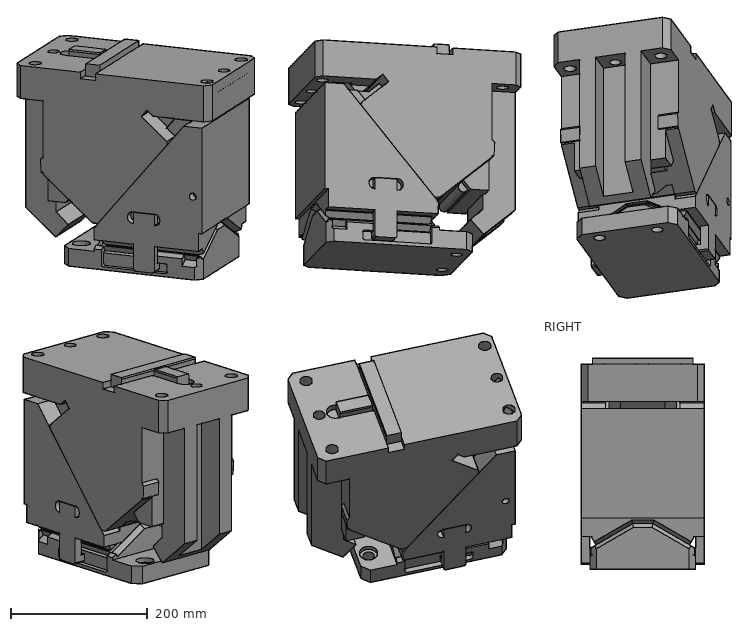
import cadquery as cq
import math


LENGTH = 310.0
WIDTH = 180.0
HALF_WIDTH = WIDTH / 2
ROOF_ANGLE = math.radians(30)
ROOF_RISE = math.tan(ROOF_ANGLE)
BEYOND = 62.0

SLOPE_ANGLE = math.radians(50)
SLOPE_X = 132.5
SLOPE_Z = 73.2
LOWER_END_U = -5.3
RAIL_HALF_WIDTH = 58.5
RAIL_HEIGHT = 21.5
VALLEY_HALF_WIDTH = 49.5
VALLEY_HEIGHT = 11.5
NOTCH_START_U = 174.8
NOTCH_END_U = 188.5
NOTCH_DEPTH = 56.5
NOTCH_BEVEL = 3.7

PLATE_TOP = 300.0
PLATE_BOTTOM = 245.5
FRONT_PLATE_BOTTOM = 250.2
PLATE_CHAMFER = 10.0
CHEEK_X = 45.5
CORE_HALF_WIDTH = 70.0
CORE_BOTTOM = 93.5
CORE_BOTTOM_END_X = 73.2
NOSE_X = 81.2
NOSE_Z = 99.2
NOSE_RADIUS = 7.5
NOSE_HALF_WIDTH = 59.0
BUMP_OUT = 4.0
BUMP_TOP = 165.2
BUMP_BOTTOM = 141.5
BUMP_TAPER = 1.2
BUMP_INNER_Y = 59.8
HOOK_HALF_WIDTH = 47.0
HOOK_OUTLINE = [
    (0, FRONT_PLATE_BOTTOM),
    (0, 73.2),
    (47.7, 33.0),
    (67.5, 54.0),
    (48.7, 71.3),
    (48.7, FRONT_PLATE_BOTTOM),
]
GROOVE_HALF_WIDTH = 22.5
GROOVE_DEPTH = 37.8
HOLE_X_FRONT = 24.8
HOLE_X_BACK = 295.0
HOLE_Y_FRONT = 69.8
HOLE_Y_BACK = 65.0
SCREW_HOLE_RADIUS = 9.0
DOWEL_HOLE_RADIUS = 8.5

KEY_TOP = 309.0
KEY_FLOOR = 290.2
KEY_EDGE_HEIGHT = 2.5
KEY_EDGE_WIDTH = 1.0
CROSS_SLOT_X0 = 104.8
CROSS_SLOT_X1 = 129.0
CROSS_KEY_GAP = 1.2
CROSS_KEY_LENGTH = 147.5
LONG_KEY_X0 = 53.5
LONG_KEY_X1 = 103.0
LONG_KEY_WIDTH = 23.2
LONG_SLOT_X0 = 36.5
LONG_SLOT_WIDTH = 26.0

BASE_X0 = 69.5
BASE_X1 = 290.5
BASE_HALF_WIDTH = 77.5
BASE_FLOOR = 27.0
BASE_FRONT_CHAMFER = 11.5
BASE_BACK_CHAMFER = 10.0
SHOULDER_X0 = 121.5
SHOULDER_Z = 30.5
RIDGE_HALF_WIDTH = 70.5
RIDGE_EDGE_Z = 34.7
RIDGE_FLAT_HALF_WIDTH = 15.0
RIDGE_TOP = RIDGE_EDGE_Z + (RIDGE_HALF_WIDTH - RIDGE_FLAT_HALF_WIDTH) * ROOF_RISE
RIDGE_FOOT_HALF_WIDTH = 65.0
RIDGE_FOOT_Z = 15.5
RAMP_DROP = 5.3
RAMP_X0 = 130.5
RAMP_X1 = 281.8
UNDERCUT_DEPTH = 5.0
UNDERCUT_Z = RIDGE_EDGE_Z - UNDERCUT_DEPTH / ROOF_RISE
UNDERCUT_Y = RIDGE_HALF_WIDTH - UNDERCUT_DEPTH
NOTCH_X0 = 261.0
NOTCH_X1 = 282.7
POCKET_X0 = 133.3
POCKET_X1 = 237.0
POCKET_TALL_X1 = 204.5
POCKET_Y = 69.5
POCKET_BOTTOM = 5.0
POCKET_LOW_TOP = 19.8
POCKET_RADIUS = 3.0
BORE_X = 87.5
BORE_Y = 44.3
BORE_RADIUS = 8.5
COUNTERBORE_RADIUS = 13.3
COUNTERBORE_DEPTH = 6.8

SLIDE_X0 = 126.5
SLIDE_X1 = 297.5
SLIDE_FOOT_X1 = 292.3
SLIDE_STEP_Z = 75.3
SLIDE_TOP = 235.5
SLIDE_BOTTOM = 48.0
RUNNER_HALF_WIDTH = 69.0
RUNNER_Z = RIDGE_EDGE_Z + (RIDGE_HALF_WIDTH - RUNNER_HALF_WIDTH) * ROOF_RISE
RUNNER_X0 = 132.7
RUNNER_LAND = 1.5
RUNNER_TOP_HALF_WIDTH = RUNNER_HALF_WIDTH + (SLIDE_BOTTOM - RUNNER_Z - 2 * RUNNER_LAND) * ROOF_RISE
FLARE_FRONT_X = 139.0
FLARE_FRONT_RISE = 3.0
FLARE_BACK_X = 283.0
FLARE_BACK_RISE = 5.3
STOP_OUTER_Y = 54.2
STOP_THICKNESS = 7.8
STRAP_X0 = 188.8
STRAP_X1 = 222.3
STRAP_BOTTOM = 7.5
STRAP_CHAMFER = 2.2
TOE_INNER_Y = 70.7
TOE_TOP = 19.2
STRAP_GAP = 0.5
RECESS_X0 = 179.5
RECESS_X1 = 231.0
RECESS_TOP = 97.0
RECESS_HEIGHT = 17.5
PIN_HOLE_X = 283.0
PIN_HOLE_Z = 130.2
PIN_HOLE_RADIUS = 5.3
PIN_HOLE_DEPTH = 15.5
PIN_HOLE_TIP = 3.0


def on_slope(u, v):
    """XZ point at distance u up the slope and v square to it."""
    x = SLOPE_X + u * math.cos(SLOPE_ANGLE) - v * math.sin(SLOPE_ANGLE)
    z = SLOPE_Z + u * math.sin(SLOPE_ANGLE) + v * math.cos(SLOPE_ANGLE)
    return (x, z)


def u_at_height(z, v):
    """Distance up the slope where the line at offset v reaches height z."""
    return (z - SLOPE_Z - v * math.cos(SLOPE_ANGLE)) / math.sin(SLOPE_ANGLE)


def v_at_height(z, u):
    """Offset from the slope where the square line at distance u reaches height z."""
    return (z - SLOPE_Z - u * math.sin(SLOPE_ANGLE)) / math.cos(SLOPE_ANGLE)


def side_plate(outline, y0, y1):
    """XZ outline made solid between y0 and y1."""
    return cq.Workplane("XZ", origin=(0, y1, 0)).polyline(outline).close().extrude(y1 - y0)


def across(outline, half_width):
    """XZ outline made solid over the width -half_width to half_width."""
    return side_plate(outline, -half_width, half_width)


def on_both_sides(shape):
    """The shape together with its mirror image across Y = 0."""
    return shape.union(shape.mirror("XZ"))


def box(x0, x1, y0, y1, z0, z1):
    """Box between the given limits."""
    return cq.Workplane("XY").box(x1 - x0, y1 - y0, z1 - z0, centered=False).translate((x0, y0, z0))


def upright_pin(x, y, radius, z0, z1):
    """Vertical cylinder."""
    return cq.Workplane("XY", origin=(x, y, z0)).circle(radius).extrude(z1 - z0)


def lowered_ridge_edge(drop):
    """YZ point of the ridge's outer edge moved square to the roof by drop."""
    edge_y = RIDGE_HALF_WIDTH - drop * math.sin(ROOF_ANGLE)
    edge_z = RIDGE_EDGE_Z - drop * math.cos(ROOF_ANGLE)
    return (edge_y, edge_z)


def ridge_outline(drop):
    """YZ outline of the base ridge with its top faces moved inward by drop."""
    edge_y, edge_z = lowered_ridge_edge(drop)
    flat_z = RIDGE_TOP - drop
    flat_y = edge_y - (flat_z - edge_z) / ROOF_RISE
    half = [(RIDGE_FOOT_HALF_WIDTH, RIDGE_FOOT_Z), (edge_y, edge_z), (flat_y, flat_z)]
    return half + [(-y, z) for y, z in reversed(half)]


def ridge(x0, drop0, x1, drop1):
    """Length of ridge whose height changes evenly from drop0 at x0 to drop1 at x1."""
    start = cq.Workplane("YZ", origin=(x0, 0, 0)).polyline(ridge_outline(drop0)).close()
    end = start.workplane(offset=x1 - x0).polyline(ridge_outline(drop1)).close()
    return end.loft(ruled=True)


def straight_ridge(x0, x1):
    """Length of ridge at full height."""
    return ridge(x0, 0, x1, 0)


def along_x(outline, x0, x1):
    """YZ outline made solid between x0 and x1."""
    return cq.Workplane("YZ", origin=(x0, 0, 0)).polyline(outline).close().extrude(x1 - x0)


def base_pocket():
    """Side pocket that opens the undercut of the ridge, with a low rounded extension."""
    outside = HALF_WIDTH
    outline = [
        (RIDGE_HALF_WIDTH, RIDGE_EDGE_Z),
        (UNDERCUT_Y, UNDERCUT_Z),
        (POCKET_Y, UNDERCUT_Z - (POCKET_Y - UNDERCUT_Y) * ROOF_RISE),
        (POCKET_Y, POCKET_BOTTOM + POCKET_RADIUS),
        (outside, POCKET_BOTTOM + POCKET_RADIUS),
        (outside, RIDGE_EDGE_Z),
    ]
    tall = along_x(outline, POCKET_X0, POCKET_TALL_X1)
    low = box(POCKET_X0, POCKET_X1, POCKET_Y, outside, POCKET_BOTTOM, POCKET_LOW_TOP)
    return tall.union(low.edges("|Y and (<Z or >X)").fillet(POCKET_RADIUS))


def base_notch():
    """Side notch near the +X end that opens the undercut of the ridge."""
    outside = HALF_WIDTH
    outline = [
        (RIDGE_HALF_WIDTH, RIDGE_EDGE_Z),
        (UNDERCUT_Y, UNDERCUT_Z),
        (outside, UNDERCUT_Z - (outside - UNDERCUT_Y) * ROOF_RISE),
        (outside, RIDGE_EDGE_Z),
    ]
    return along_x(outline, NOTCH_X0, NOTCH_X1)


def make_base():
    foot = box(BASE_X0, BASE_X1, -BASE_HALF_WIDTH, BASE_HALF_WIDTH, 0, BASE_FLOOR)
    half = [
        (BASE_HALF_WIDTH, 0),
        (BASE_HALF_WIDTH, SHOULDER_Z),
        (RIDGE_HALF_WIDTH, RIDGE_EDGE_Z),
        lowered_ridge_edge(RAMP_DROP),
    ]
    shoulder = along_x(half + [(-y, z) for y, z in reversed(half)], SHOULDER_X0, BASE_X1)
    body = foot.union(shoulder)
    body = body.edges("|Z and <X").chamfer(BASE_FRONT_CHAMFER)
    body = body.union(ridge(SHOULDER_X0, RAMP_DROP, RAMP_X0, 0))
    body = body.union(straight_ridge(RAMP_X0, RAMP_X1))
    body = body.union(ridge(RAMP_X1, 0, BASE_X1, RAMP_DROP))
    corner = (
        cq.Workplane("XY")
        .moveTo(BASE_X1, BASE_HALF_WIDTH)
        .lineTo(BASE_X1 - BASE_BACK_CHAMFER, BASE_HALF_WIDTH)
        .lineTo(BASE_X1, BASE_HALF_WIDTH - BASE_BACK_CHAMFER)
        .close()
        .extrude(RIDGE_TOP)
    )
    for cutter in (base_pocket(), base_notch(), corner):
        body = body.cut(on_both_sides(cutter))
    bore = upright_pin(BORE_X, BORE_Y, BORE_RADIUS, 0, BASE_FLOOR)
    counterbore = upright_pin(BORE_X, BORE_Y, COUNTERBORE_RADIUS, BASE_FLOOR - COUNTERBORE_DEPTH, BASE_FLOOR)
    return body.cut(on_both_sides(bore.union(counterbore)))


def slide_rail():
    """Raised middle of the sloped face, with a shallow V valley along it, longer than the slide."""
    valley_y = VALLEY_HALF_WIDTH - (RAIL_HEIGHT - VALLEY_HEIGHT) / ROOF_RISE
    half = [
        (RAIL_HALF_WIDTH, 0),
        (RAIL_HALF_WIDTH, RAIL_HEIGHT),
        (VALLEY_HALF_WIDTH, RAIL_HEIGHT),
        (valley_y, VALLEY_HEIGHT),
    ]
    start_x, start_z = on_slope(LOWER_END_U, 0)
    section = cq.Plane(
        origin=(start_x, 0, start_z),
        xDir=(0, 1, 0),
        normal=(math.cos(SLOPE_ANGLE), 0, math.sin(SLOPE_ANGLE)),
    )
    outline = half + [(-y, v) for y, v in reversed(half)]
    length = u_at_height(SLIDE_TOP, 0) - LOWER_END_U + BEYOND
    return cq.Workplane(section).polyline(outline).close().extrude(length)


def slide_runner():
    """Runner below the slide, between the straps, before the ridge is cut out of it."""
    half = [
        (RUNNER_TOP_HALF_WIDTH, SLIDE_BOTTOM),
        (RUNNER_TOP_HALF_WIDTH, SLIDE_BOTTOM - RUNNER_LAND),
        (RUNNER_HALF_WIDTH, RUNNER_Z + RUNNER_LAND),
        (RUNNER_HALF_WIDTH, RUNNER_Z),
    ]
    return along_x(half + [(-y, z) for y, z in reversed(half)], RUNNER_X0, SLIDE_FOOT_X1)


def slide_stop():
    """Thin upright stop standing on the rail inside the notch of the holder."""
    end_u = NOTCH_START_U + STOP_THICKNESS
    outline = [
        on_slope(NOTCH_START_U, RAIL_HEIGHT),
        on_slope(NOTCH_START_U, NOTCH_DEPTH),
        on_slope(end_u, NOTCH_DEPTH),
        on_slope(end_u, v_at_height(SLIDE_TOP, end_u)),
        on_slope(u_at_height(SLIDE_TOP, RAIL_HEIGHT), RAIL_HEIGHT),
    ]
    return side_plate(outline, VALLEY_HALF_WIDTH, STOP_OUTER_Y)


def slide_strap():
    """Side strap that reaches down beside the base, with a toe in the base pocket."""
    strap = box(STRAP_X0, STRAP_X1, BASE_HALF_WIDTH, HALF_WIDTH, STRAP_BOTTOM, RECESS_TOP - STRAP_GAP)
    toe = box(STRAP_X0, STRAP_X1, TOE_INNER_Y, HALF_WIDTH, STRAP_BOTTOM, TOE_TOP)
    return strap.union(toe).edges("|Y and <Z").chamfer(STRAP_CHAMFER)


def strap_recess():
    """Round-ended recess that seats the head of the strap."""
    middle_x = (RECESS_X0 + RECESS_X1) / 2
    middle_z = RECESS_TOP - RECESS_HEIGHT / 2
    plane = cq.Workplane("XZ", origin=(middle_x, HALF_WIDTH, middle_z))
    return plane.slot2D(RECESS_X1 - RECESS_X0, RECESS_HEIGHT).extrude(HALF_WIDTH - BASE_HALF_WIDTH)


def pin_hole():
    """Blind hole with a drill tip in the -Y side."""
    profile = [
        (0, 0),
        (PIN_HOLE_RADIUS, 0),
        (PIN_HOLE_RADIUS, PIN_HOLE_DEPTH),
        (0, PIN_HOLE_DEPTH + PIN_HOLE_TIP),
    ]
    hole = cq.Workplane("XY").polyline(profile).close().revolve(360, (0, 0, 0), (0, 1, 0))
    return hole.translate((PIN_HOLE_X, -HALF_WIDTH, PIN_HOLE_Z))


def make_slide():
    outline = [
        (SLIDE_X0, SLIDE_BOTTOM),
        (SLIDE_FOOT_X1, SLIDE_BOTTOM),
        (SLIDE_FOOT_X1, SLIDE_STEP_Z),
        (SLIDE_X1, SLIDE_STEP_Z),
        (SLIDE_X1, SLIDE_TOP),
        on_slope(u_at_height(SLIDE_TOP, 0), 0),
        on_slope((SLIDE_X0 - SLOPE_X) / math.cos(SLOPE_ANGLE), 0),
    ]
    body = across(outline, HALF_WIDTH)
    rail = slide_rail().intersect(box(0, SLIDE_X1, -HALF_WIDTH, HALF_WIDTH, SLOPE_Z, SLIDE_TOP))
    rail_foot = box(SLIDE_X0, SLOPE_X, -RAIL_HALF_WIDTH, RAIL_HALF_WIDTH, SLIDE_BOTTOM, SLOPE_Z)
    body = body.union(rail).union(rail_foot).union(on_both_sides(slide_stop()))
    body = body.union(slide_runner())
    body = body.cut(straight_ridge(SLIDE_X0, SLIDE_FOOT_X1))
    body = body.cut(ridge(SLIDE_X0, -FLARE_FRONT_RISE, RUNNER_X0, -FLARE_FRONT_RISE))
    body = body.cut(ridge(RUNNER_X0, -FLARE_FRONT_RISE, FLARE_FRONT_X, 0))
    body = body.cut(ridge(FLARE_BACK_X, 0, SLIDE_FOOT_X1, -FLARE_BACK_RISE))
    body = body.cut(on_both_sides(strap_recess())).union(on_both_sides(slide_strap()))
    return body.cut(pin_hole())


def holder_plate():
    """Top plate with chamfered corners, deeper towards +X."""
    outline = [
        (0, PLATE_TOP),
        (0, FRONT_PLATE_BOTTOM),
        (CHEEK_X, FRONT_PLATE_BOTTOM),
        (CHEEK_X, PLATE_BOTTOM),
        (LENGTH, PLATE_BOTTOM),
        (LENGTH, PLATE_TOP),
    ]
    return across(outline, HALF_WIDTH).edges("|Z and (<X or >X)").chamfer(PLATE_CHAMFER)


def holder_cheeks():
    """Full-width block between the plate and the slope, with its -X nose."""
    lower_end = (CHEEK_X - SLOPE_X - LOWER_END_U * math.cos(SLOPE_ANGLE)) / -math.sin(SLOPE_ANGLE)
    tip_v = v_at_height(SLOPE_Z, LOWER_END_U)
    outline = [
        (CHEEK_X, FRONT_PLATE_BOTTOM),
        on_slope(LOWER_END_U, lower_end),
        on_slope(LOWER_END_U, tip_v),
        (SLOPE_X, SLOPE_Z),
        on_slope(u_at_height(FRONT_PLATE_BOTTOM, 0), 0),
    ]
    return across(outline, HALF_WIDTH)


def holder_notch():
    """Notch square to the slope, open to the underside of the plate."""
    outline = [
        on_slope(NOTCH_START_U - NOTCH_BEVEL, 0),
        on_slope(NOTCH_START_U, NOTCH_BEVEL),
        on_slope(NOTCH_START_U, NOTCH_DEPTH),
        on_slope(NOTCH_END_U, NOTCH_DEPTH),
        on_slope(NOTCH_END_U, v_at_height(PLATE_BOTTOM, NOTCH_END_U)),
        on_slope(u_at_height(PLATE_BOTTOM, 0), 0),
    ]
    return across(outline, HALF_WIDTH)


def holder_tongue():
    """Guide that continues below the plate past the notch."""
    outline = [
        on_slope(NOTCH_END_U, v_at_height(PLATE_BOTTOM, NOTCH_END_U)),
        on_slope(NOTCH_END_U, VALLEY_HEIGHT),
        on_slope(u_at_height(PLATE_BOTTOM, VALLEY_HEIGHT), VALLEY_HEIGHT),
    ]
    return across(outline, VALLEY_HALF_WIDTH)


def holder_core():
    """Middle block under the cheeks, with a rounded nose."""
    rise = CORE_BOTTOM - SLOPE_Z
    run = SLOPE_X - CORE_BOTTOM_END_X
    nose_v = rise * math.cos(SLOPE_ANGLE) + run * math.sin(SLOPE_ANGLE)
    outline = [
        (CHEEK_X, BUMP_TOP),
        (CHEEK_X, CORE_BOTTOM),
        (CORE_BOTTOM_END_X, CORE_BOTTOM),
        on_slope(LOWER_END_U, nose_v),
    ]
    block = across(outline, CORE_HALF_WIDTH)
    nose = cq.Workplane("XZ", origin=(NOSE_X, NOSE_HALF_WIDTH, NOSE_Z)).circle(NOSE_RADIUS)
    return block.union(nose.extrude(2 * NOSE_HALF_WIDTH))


def cheek_bump():
    """Raised pad on the -X end of a cheek, ending at the sloped underside."""
    front_x = CHEEK_X - BUMP_OUT
    outline = [
        (CHEEK_X, BUMP_TOP),
        (front_x, BUMP_TOP - BUMP_OUT),
        (front_x + BUMP_TAPER, BUMP_BOTTOM),
        (CHEEK_X, BUMP_BOTTOM),
    ]
    return side_plate(outline, BUMP_INNER_Y, HALF_WIDTH)


def holder_hook():
    """Hooked column at the -X end with an upright groove in its outer face."""
    groove = box(0, GROOVE_DEPTH, -GROOVE_HALF_WIDTH, GROOVE_HALF_WIDTH, 0, FRONT_PLATE_BOTTOM)
    return across(HOOK_OUTLINE, HOOK_HALF_WIDTH).cut(groove)


def add_keys(body):
    """Cross key and long key, each seated in its slot."""
    body = body.cut(box(CROSS_SLOT_X0, CROSS_SLOT_X1, -HALF_WIDTH, HALF_WIDTH, KEY_FLOOR, PLATE_TOP))
    slot_radius = LONG_SLOT_WIDTH / 2
    round_x = LONG_SLOT_X0 + slot_radius
    body = body.cut(box(round_x, CROSS_SLOT_X0, -slot_radius, slot_radius, KEY_FLOOR, PLATE_TOP))
    body = body.cut(upright_pin(round_x, 0, slot_radius, KEY_FLOOR, PLATE_TOP))
    key_x0 = CROSS_SLOT_X0 + CROSS_KEY_GAP
    key_y = CROSS_KEY_LENGTH / 2
    cross_key = box(key_x0, CROSS_SLOT_X1, -key_y, key_y, KEY_FLOOR, KEY_TOP)
    cross_key = cross_key.faces("<X").edges(">Z").chamfer(KEY_EDGE_HEIGHT, KEY_EDGE_WIDTH)
    half_key = LONG_KEY_WIDTH / 2
    long_key = box(LONG_KEY_X0, LONG_KEY_X1, -half_key, half_key, KEY_FLOOR, KEY_TOP)
    long_key = long_key.faces("<Y or >Y").edges(">Z").chamfer(KEY_EDGE_HEIGHT, KEY_EDGE_WIDTH)
    return body.union(cross_key).union(long_key)


def holder_holes():
    """Three holes through the plate at each end: two for screws, one for a dowel."""
    holes = cq.Workplane("XY")
    for x, spread in ((HOLE_X_FRONT, HOLE_Y_FRONT), (HOLE_X_BACK, HOLE_Y_BACK)):
        holes = holes.union(upright_pin(x, 0, DOWEL_HOLE_RADIUS, PLATE_BOTTOM, PLATE_TOP))
        for side in (-1, 1):
            holes = holes.union(upright_pin(x, side * spread, SCREW_HOLE_RADIUS, PLATE_BOTTOM, PLATE_TOP))
    return holes


def make_holder():
    body = holder_plate().union(holder_cheeks()).cut(holder_notch())
    body = body.union(holder_core()).union(holder_tongue())
    body = body.union(on_both_sides(cheek_bump())).union(holder_hook())
    body = add_keys(body).cut(slide_rail())
    return body.cut(holder_holes())


base = make_base()
slide = make_slide()
holder = make_holder()

result = cq.Compound.makeCompound([base.val(), slide.val(), holder.val()])